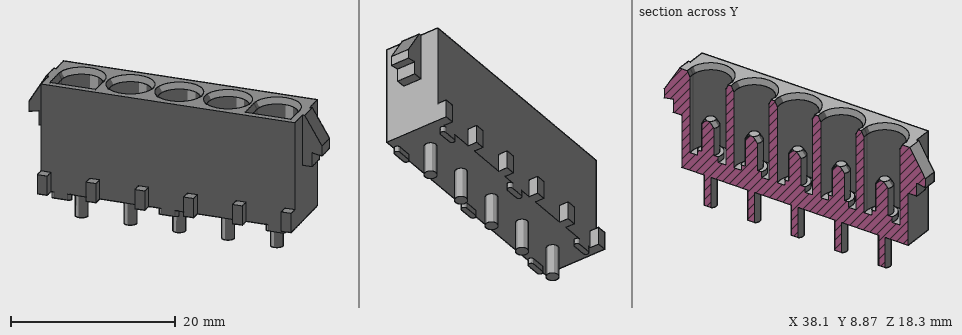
import cadquery as cq

housing_length = 33.0
housing_width = 7.62
housing_height = 14.02

contact_count = 5
pitch = 6.345
tail_radius = 0.8
tail_length = 4.25
collar_radius = 1.65
collar_height = 0.75
pin_radius = 1.1
pin_tip_radius = 0.65
pin_tip_height = 0.75
pin_height = 5.35

socket_radius = 2.6
socket_floor = 2.55
lead_in = 0.4
lead_in_depth = 0.75

rib_width = 1.3
rib_height = 2.55
rib_depth = 1.25

foot_length = 2.55
foot_width = 0.75
foot_height = 0.8

overall_length = 38.1
latch_width = 2.55
latch_top_reach = 0.3
latch_stem_reach = 1.25
latch_hook_reach = (overall_length - housing_length) / 2
ramp_drop = 3.7
hook_tip_drop = 5.03
hook_root_drop = 4.8
latch_height = 6.63

contact_places = [(i - (contact_count - 1) / 2) * pitch for i in range(contact_count)]
first_contact = contact_places[0]
last_contact = contact_places[-1]


def make_housing():
    return cq.Workplane("XY").box(housing_length, housing_width, housing_height, centered=(True, True, False))


def round_outline(plane, radius):
    return plane.circle(radius)


def keyed_outline(plane, radius):
    """Half circle at the rear, square corners at the front."""
    return (
        plane.moveTo(-radius, -radius)
        .lineTo(radius, -radius)
        .lineTo(radius, 0)
        .threePointArc((0, radius), (-radius, 0))
        .close()
    )


def make_socket(x, outline):
    """Straight bore plus the flared lead-in at the mouth."""
    floor = cq.Workplane("XY", origin=(x, 0, socket_floor))
    bore = outline(floor, socket_radius).extrude(housing_height - socket_floor)
    flare_start = cq.Workplane("XY", origin=(x, 0, housing_height - lead_in_depth))
    flare = outline(flare_start, socket_radius).workplane(offset=lead_in_depth)
    return bore.union(outline(flare, socket_radius + lead_in).loft(ruled=True))


def make_contact(x):
    """Solder tail, collar on the socket floor and pin with a tapered tip, turned about Z."""
    collar_top = socket_floor + collar_height
    pin_top = socket_floor + pin_height
    profile = (
        cq.Workplane("XZ")
        .moveTo(0, -tail_length)
        .lineTo(tail_radius, -tail_length)
        .lineTo(tail_radius, socket_floor)
        .lineTo(collar_radius, socket_floor)
        .lineTo(collar_radius, collar_top)
        .lineTo(pin_radius, collar_top)
        .lineTo(pin_radius, pin_top - pin_tip_height)
        .lineTo(pin_tip_radius, pin_top)
        .lineTo(0, pin_top)
        .close()
    )
    return profile.revolve(360, (0, 0, 0), (0, 1, 0)).translate((x, 0, 0))


def make_ribs():
    rib_span = housing_length - rib_width
    rib_places = [(i / contact_count - 0.5) * rib_span for i in range(contact_count + 1)]
    return (
        cq.Workplane("XY", origin=(0, -(housing_width + rib_depth) / 2, 0))
        .pushPoints([(x, 0) for x in rib_places])
        .box(rib_width, rib_depth, rib_height, centered=(True, True, False))
    )


def make_feet():
    end_foot = housing_length / 2 - rib_width - foot_length / 2
    row = (housing_width - foot_width) / 2
    places = [(x, y) for x in (-end_foot, 0, end_foot) for y in (-row, row)]
    return cq.Workplane("XY").pushPoints(places).slot2D(foot_length, foot_width).extrude(-foot_height)


def make_latch():
    """Latch on the +X end."""
    return (
        cq.Workplane("XZ", origin=(housing_length / 2, 0, housing_height))
        .moveTo(0, 0)
        .lineTo(latch_top_reach, 0)
        .lineTo(latch_hook_reach, -ramp_drop)
        .lineTo(latch_hook_reach, -hook_tip_drop)
        .lineTo(latch_stem_reach, -hook_root_drop)
        .lineTo(latch_stem_reach, -latch_height)
        .lineTo(0, -latch_height)
        .close()
        .extrude(latch_width / 2, both=True)
    )


latch = make_latch()
result = make_housing().union(make_ribs()).union(make_feet())
result = result.union(latch).union(latch.mirror("YZ"))

for place in contact_places:
    is_end = place in (first_contact, last_contact)
    result = result.cut(make_socket(place, keyed_outline if is_end else round_outline))

for place in contact_places:
    result = result.union(make_contact(place))